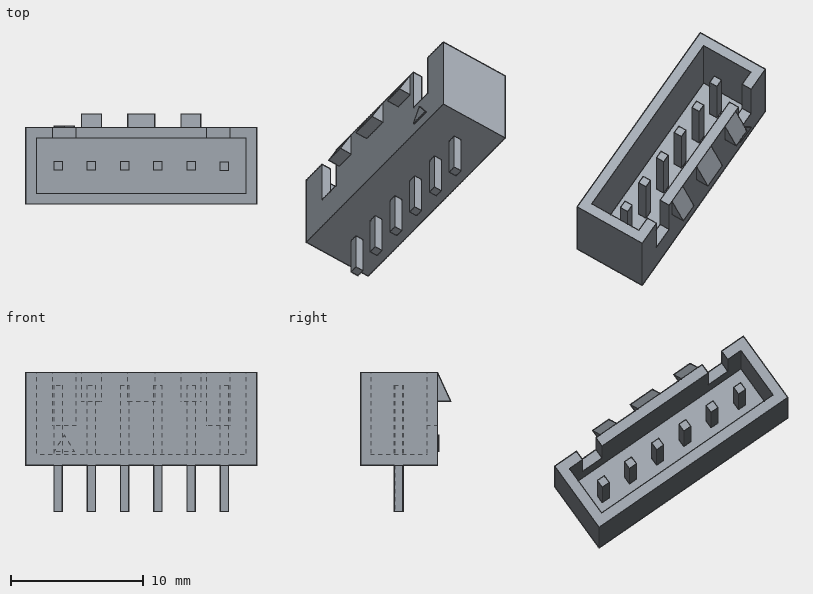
import cadquery as cq

length = 17.4
depth = 5.8
height = 7.0
wall = 0.8
floor = wall

slot_width = 1.8
slot_depth = 4.0
slot_offset = 5.8

wedge_reach = 1.01
wedge_height = 2.2
center_wedge_width = 2.05
side_wedge_width = 1.51
side_wedge_offset = 3.74

pin_count = 6
pin_pitch = 2.5
pin_size = 0.65
pin_below = 3.5
pin_above = 6.0
last_pin_shift = -0.05

marker_width = 1.51
marker_height = 1.25
marker_bottom = 1.03
marker_thickness = 0.1
marker_center = -slot_offset

back = depth / 2


def wedge(center_x, width):
    """Wedge flush with the rim, widening downwards to a flat catch."""
    catch_z = height - wedge_height
    return (
        cq.Workplane("YZ", origin=(center_x - width / 2, 0, 0))
        .polyline([(back, height), (back + wedge_reach, catch_z), (back, catch_z)])
        .close()
        .extrude(width)
    )


def pin(center_x, center_y):
    """Straight pin running through the housing floor."""
    return (
        cq.Workplane("XY", origin=(center_x, center_y, -pin_below))
        .rect(pin_size, pin_size)
        .extrude(pin_below + pin_above)
    )


def marker():
    """Triangle on the back wall with its point upwards."""
    left = marker_center - marker_width / 2
    right = marker_center + marker_width / 2
    return (
        cq.Workplane("XZ", origin=(0, back, 0))
        .polyline([
            (left, marker_bottom),
            (right, marker_bottom),
            (marker_center, marker_bottom + marker_height),
        ])
        .close()
        .extrude(-marker_thickness)
    )


result = cq.Workplane("XY").rect(length, depth).extrude(height)
cavity = (
    cq.Workplane("XY", origin=(0, 0, floor))
    .rect(length - 2 * wall, depth - 2 * wall)
    .extrude(height - floor)
)
result = result.cut(cavity)

for side in (-1, 1):
    slot = (
        cq.Workplane("XY", origin=(side * slot_offset, back - wall / 2, height - slot_depth))
        .rect(slot_width, wall)
        .extrude(slot_depth)
    )
    result = result.cut(slot)

result = result.union(wedge(0, center_wedge_width))
for side in (-1, 1):
    result = result.union(wedge(side * side_wedge_offset, side_wedge_width))

for index in range(pin_count):
    pin_x = (index - (pin_count - 1) / 2) * pin_pitch
    pin_y = last_pin_shift if index == pin_count - 1 else 0
    result = result.union(pin(pin_x, pin_y))

result = result.union(marker())